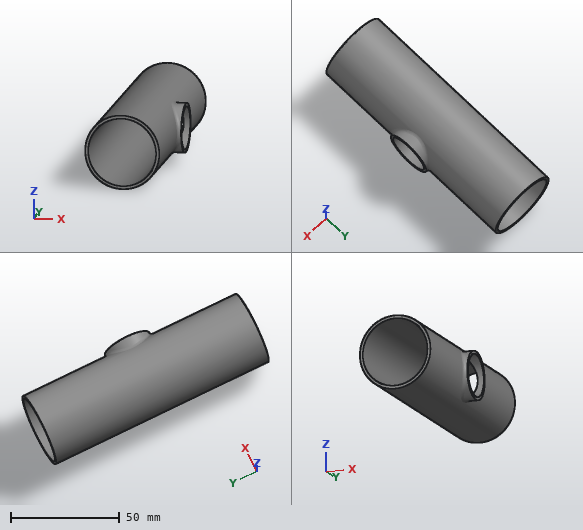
import cadquery as cq

tube_length = 110.0
tube_diameter = 35.0
bore_diameter = 32.0

boss_diameter = 23.1
boss_face_x = 19.0
boss_bore_diameter = boss_diameter - (tube_diameter - bore_diameter)
blend_radius = 1.8

trim_allowance = 5.5


def cylinder_along_y(diameter):
    return cq.Workplane("XZ").circle(diameter / 2).extrude(tube_length / 2, both=True)


def blended_body():
    """Solid tube envelope and long boss, joined by a fillet."""
    boss = cq.Workplane("YZ").circle(boss_diameter / 2).extrude(boss_face_x + trim_allowance)
    body = cylinder_along_y(tube_diameter).union(boss)
    corner = boss_diameter / 2 + blend_radius
    junction = cq.selectors.BoxSelector(
        (0.1, -corner, -corner),
        (boss_face_x, corner, corner),
        boundingbox=True,
    )
    return body.edges(junction).fillet(blend_radius)


def boss_trim():
    """Block that removes everything beyond the flat end face of the boss."""
    return (
        cq.Workplane("YZ", origin=(boss_face_x, 0, 0))
        .rect(tube_diameter, tube_diameter)
        .extrude(2 * trim_allowance)
    )


def boss_bore():
    """Side opening from the tube bore out through the boss face."""
    return cq.Workplane("YZ").circle(boss_bore_diameter / 2).extrude(boss_face_x)


result = blended_body().cut(boss_trim()).cut(cylinder_along_y(bore_diameter)).cut(boss_bore())